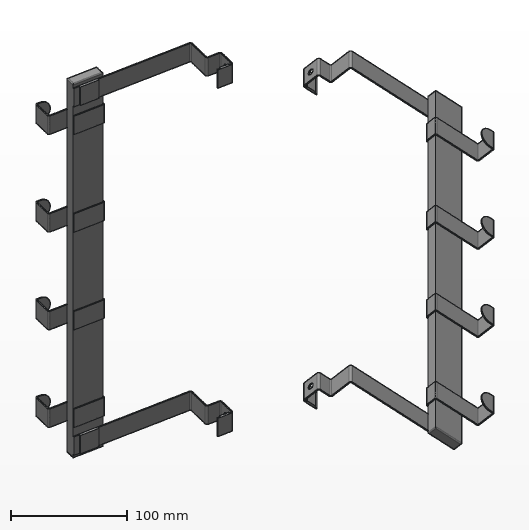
import cadquery as cq

width_x = 76.5
depth_y = 152.5
rail_length = 404.0

sheet = 1.2
half_sheet = sheet / 2
strip_width = 19.8

rail_left = 21.0
rail_right = 31.0
rail_front = 18.5
rail_back = 49.0
rail_end_radius = 1.0

hook_count = 4
hook_pitch = 105.5
hook_bend_radius = 1.5
hook_lip_end = 14.5

bracket_end_gap = 4.0
bracket_bend_radius = 2.22
step_back = 138.0
step_right = 57.5
bracket_lip_end = 136.5

arm_pad_length = 18.5
lip_pad_front = 139.5
lip_pad_back = 148.5

hole_diameter = 6.0
hole_x = 66.3


def bent_strip(points, outer_radius, z_middle):
    """Upright strip whose centre line runs through `points`, with a rounded bend at each corner."""
    centre_line = cq.Wire.makePolygon([cq.Vector(x, y, z_middle) for x, y in points])
    bends = centre_line.Vertices()[1:-1]
    centre_line = centre_line.fillet(outer_radius - half_sheet, bends)
    section = cq.Plane(
        origin=centre_line.startPoint(), xDir=(0, 0, 1), normal=centre_line.tangentAt(0)
    )
    return cq.Workplane(section).rect(strip_width, sheet).sweep(cq.Workplane(centre_line))


def make_rail():
    return (
        cq.Workplane("XY")
        .box(rail_right - rail_left, rail_back - rail_front, rail_length, centered=False)
        .translate((rail_left, rail_front, 0))
        .faces("|Z")
        .edges()
        .fillet(rail_end_radius)
    )


def make_pad(x_left, y_front, y_back, z_middle):
    """Flat pad on the side of a bracket strip."""
    return (
        cq.Workplane("XY")
        .box(sheet, y_back - y_front, strip_width, centered=False)
        .translate((x_left, y_front, z_middle - strip_width / 2))
    )


def make_bracket(z_middle):
    """Stepped arm from the rail's side to a channel-shaped end with a screw hole."""
    arm_x = rail_right + half_sheet
    step_x = step_right - half_sheet
    lip_x = width_x - half_sheet
    step_y = step_back - half_sheet
    web_y = depth_y - half_sheet
    path = [
        (arm_x, rail_front),
        (arm_x, step_y),
        (step_x, step_y),
        (step_x, web_y),
        (lip_x, web_y),
        (lip_x, bracket_lip_end),
    ]
    strip = bent_strip(path, bracket_bend_radius, z_middle)

    hole = (
        cq.Workplane("XZ", origin=(hole_x, depth_y, z_middle))
        .circle(hole_diameter / 2)
        .extrude(sheet)
    )

    arm_pad_front = (rail_front + rail_back - arm_pad_length) / 2
    arm_pad = make_pad(
        rail_right + sheet, arm_pad_front, arm_pad_front + arm_pad_length, z_middle
    )
    lip_pad = make_pad(width_x - 2 * sheet, lip_pad_front, lip_pad_back, z_middle)
    return strip.cut(hole).union(arm_pad).union(lip_pad)


def make_frame():
    """Rail with its two brackets welded on."""
    frame = make_rail()
    inset = bracket_end_gap + strip_width / 2
    for z_middle in (inset, rail_length - inset):
        frame = frame.union(make_bracket(z_middle))
    return frame


def make_hook(z_middle):
    """J-shaped hook with a round-ended lip, whose strip wraps around three sides of the rail."""
    leg_x = rail_left - half_sheet
    clip_x = rail_right + half_sheet
    clip_y = rail_back + half_sheet
    tip_radius = strip_width / 2
    tip_centre_y = hook_lip_end - tip_radius
    path = [
        (half_sheet, tip_centre_y),
        (half_sheet, half_sheet),
        (leg_x, half_sheet),
        (leg_x, clip_y),
        (clip_x, clip_y),
        (clip_x, rail_front),
    ]
    strip = bent_strip(path, hook_bend_radius, z_middle)

    half_round_tip = (
        cq.Workplane("YZ", origin=(0, tip_centre_y, z_middle))
        .moveTo(0, -tip_radius)
        .threePointArc((tip_radius, 0), (0, tip_radius))
        .close()
        .extrude(sheet)
    )
    return strip.union(half_round_tip).cut(make_rail())


frame = make_frame()

lowest_hook_z = (rail_length - hook_pitch * (hook_count - 1)) / 2
hooks = [make_hook(lowest_hook_z + hook_pitch * i) for i in range(hook_count)]

result = cq.Compound.makeCompound([frame.solids().val(), *[hook.solids().val() for hook in hooks]])